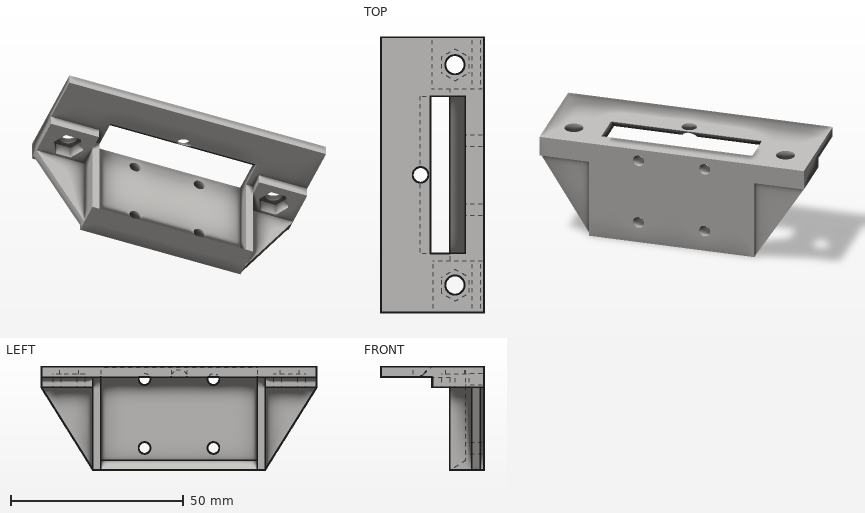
import cadquery as cq
import math

width = 30.0
length = 80.0
height = 30.0
plate_thickness = 3.0

pad_bottom = 6.0
pad_front = 15.0
far_pad_front = 14.8

box_front = 20.0
box_length = 50.0
pocket_length = 45.6
pocket_front = 14.5
pocket_back = 24.6
ramp_height = 2.9

bevel_run = 3.2
bevel_lip = 0.2

gusset_front = 26.4
gusset_thickness = 2.5

screw_diameter = 5.5
screw_x = 21.5
screw_spacing = 64.0
nut_across_flats = 8.0
nut_roof = 2.0
center_hole_diameter = 4.5
center_hole_x = 11.5
wall_hole_diameter = 3.4
wall_hole_spacing = 20.0
wall_hole_top = 3.6


def block(x_start, x_end, y_length, z_bottom, z_top):
    """Box centred on Y between the given X and Z limits."""
    return cq.Workplane("XY").box(
        x_end - x_start, y_length, z_top - z_bottom, centered=(False, True, False)
    ).translate((x_start, 0, z_bottom))


def end_pad(side, front):
    """Thickened plate end; side is -1 or 1 along Y."""
    pad_length = (length - box_length) / 2
    pad_center = side * (length + box_length) / 4
    return block(front, width, pad_length, -pad_bottom, 0).translate((0, pad_center, 0))


def gussets():
    """Trapezoidal web tapering from the full length to the box length."""
    outline = [
        (-length / 2, -pad_bottom),
        (length / 2, -pad_bottom),
        (box_length / 2, -height),
        (-box_length / 2, -height),
    ]
    web = cq.Workplane("YZ").workplane(offset=gusset_front)
    return web.polyline(outline).close().extrude(gusset_thickness)


def ramp():
    """Sloped floor of the pocket, rising towards the rear wall."""
    profile = [
        (box_front, -height),
        (pocket_back, -height),
        (pocket_back, -height + ramp_height),
    ]
    section = cq.Workplane("XZ").polyline(profile).close()
    return section.extrude(pocket_length / 2, both=True)


def bevel():
    """Cutter thinning the plate towards the front edge of the slot."""
    profile = [
        (pocket_front - bevel_run, -plate_thickness),
        (pocket_front, -plate_thickness),
        (pocket_front, -bevel_lip),
    ]
    section = cq.Workplane("XZ").polyline(profile).close()
    return section.extrude(pocket_length / 2, both=True)


def nut_pockets(points):
    """Hexagonal cutters below the screw holes, with corners pointing along Y."""
    corner_radius = nut_across_flats / 2 / math.cos(math.pi / 6)
    corners = []
    for index in range(6):
        angle = math.radians(30 + 60 * index)
        corners.append((corner_radius * math.cos(angle), corner_radius * math.sin(angle)))
    cutter = cq.Workplane("XY").polyline(corners).close().extrude(pad_bottom - nut_roof)
    pockets = cq.Workplane("XY")
    for x, y in points:
        pockets = pockets.union(cutter.translate((x, y, -pad_bottom)))
    return pockets


def vertical_holes(points, diameter):
    """Cutters through the plate and pad."""
    return cq.Workplane("XY").pushPoints(points).circle(diameter / 2).extrude(-pad_bottom)


def wall_holes():
    """Square pattern of cutters through the rear wall."""
    center_z = -wall_hole_top - wall_hole_spacing / 2
    pattern = cq.Workplane("YZ", origin=(pocket_back, 0, center_z))
    pattern = pattern.rarray(wall_hole_spacing, wall_hole_spacing, 2, 2)
    return pattern.circle(wall_hole_diameter / 2).extrude(width - pocket_back)


plate = block(0, width, length, -plate_thickness, 0)
near_pad = end_pad(-1, pad_front)
far_pad = end_pad(1, far_pad_front)
box = block(box_front, width, box_length, -height, 0)
pocket = block(pocket_front, pocket_back, pocket_length, -height, 0)
screw_points = [(screw_x, side * screw_spacing / 2) for side in (-1, 1)]

body = plate.union(near_pad).union(far_pad).union(box).union(gussets())
body = body.cut(pocket).cut(bevel()).union(ramp())
body = body.cut(nut_pockets(screw_points))
body = body.cut(vertical_holes(screw_points, screw_diameter))
body = body.cut(vertical_holes([(center_hole_x, 0)], center_hole_diameter))
result = body.cut(wall_holes())